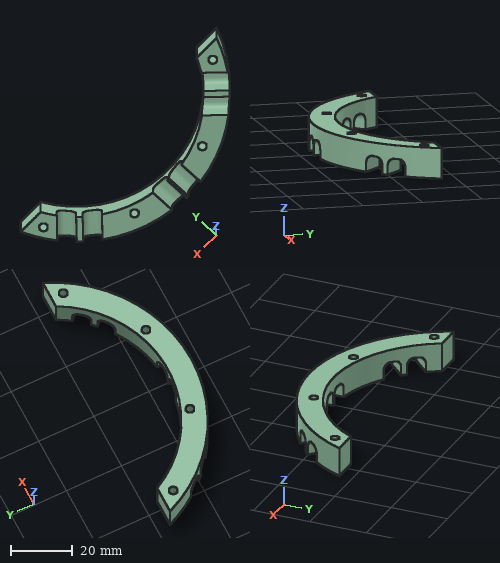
import cadquery as cq

length = 92.2
depth = 30.9
height = 10.1
band_width = 8.6
outer_radius = (length**2 / 4 + depth**2) / (2 * depth)
inner_radius = outer_radius - band_width
chord_y = depth - outer_radius

hole_diameter = 2.8
inner_hole_x = 16.0
inner_hole_y = -41.3
outer_hole_x = 39.8
outer_hole_y = -23.2

slot_width = 6.3
slot_height = 5.6
slot_corner_radius = 2.5
center_web = 0.8
side_web = 2.1
side_angle = 45.0


def ring_segment():
    ring = cq.Workplane("XY").circle(outer_radius).circle(inner_radius).extrude(height)
    kept_side = cq.Workplane("XY").box(
        2 * outer_radius, outer_radius, height, centered=(True, False, False)
    ).translate((0, chord_y - outer_radius, 0))
    return ring.intersect(kept_side)


def slot_pair(web, angle):
    """Two parallel slots through the band, turned about the ring axis from -Y."""
    half_pitch = (web + slot_width) / 2
    mid_radius = (outer_radius + inner_radius) / 2
    cut_length = 2 * band_width
    slot = (
        cq.Workplane("XY")
        .box(slot_width, cut_length, slot_height, centered=(True, True, False))
        .edges("|Y and >Z")
        .fillet(slot_corner_radius)
        .translate((0, -mid_radius, 0))
    )
    pair = slot.translate((-half_pitch, 0, 0)).union(slot.translate((half_pitch, 0, 0)))
    return pair.rotate((0, 0, 0), (0, 0, 1), angle)


hole_points = [
    (side * x, y)
    for side in (-1, 1)
    for x, y in ((inner_hole_x, inner_hole_y), (outer_hole_x, outer_hole_y))
]
holes = cq.Workplane("XY").pushPoints(hole_points).circle(hole_diameter / 2).extrude(height)

result = ring_segment().cut(holes)
for web, angle in ((side_web, -side_angle), (center_web, 0), (side_web, side_angle)):
    result = result.cut(slot_pair(web, angle))